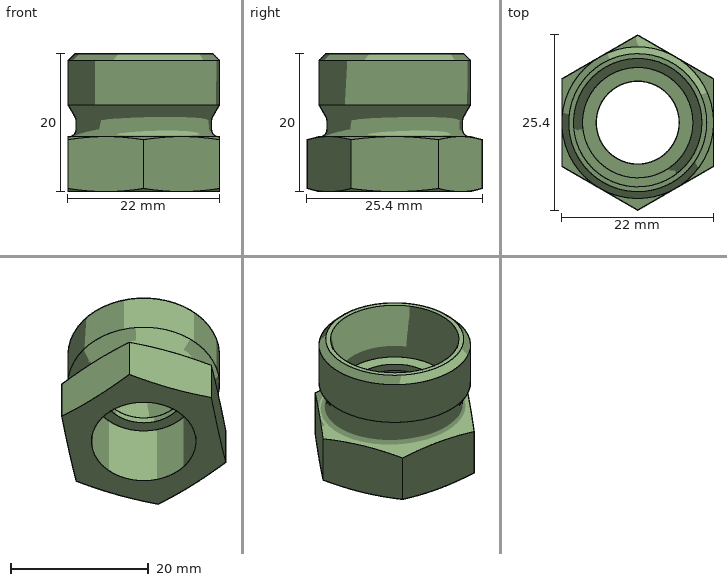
import cadquery as cq
import math

ACROSS_CORNERS = 25.4
TOTAL_HEIGHT = 20.0
HEX_HEIGHT = 7.98
HEX_CHAMFER_ANGLE = 15.0

COLLAR_DIAMETER = 22.0
COLLAR_BOTTOM = 12.57
COLLAR_CHAMFER = 1.0
UNDERCUT_DIAMETER = 19.7
UNDERCUT_CONE_ANGLE = 30.0
UNDERCUT_FILLET = 1.0

SEAT_MOUTH_DIAMETER = 18.62
SOCKET_DIAMETER = 16.0
SEAT_CONE_ANGLE = 12.0
SOCKET_DEPTH = 8.0
BORE_DIAMETER = 12.0
BORE_LENGTH = 1.07
LOWER_BORE_DIAMETER = 15.15

ACROSS_FLATS = ACROSS_CORNERS * math.cos(math.radians(30))
COLLAR_RADIUS = COLLAR_DIAMETER / 2
UNDERCUT_RADIUS = UNDERCUT_DIAMETER / 2
SEAT_DEPTH = (SEAT_MOUTH_DIAMETER - SOCKET_DIAMETER) / 2 / math.tan(math.radians(SEAT_CONE_ANGLE))


def revolve_profile(profile):
    """Turn a closed radius-height profile around the Z axis."""
    return profile.close().revolve(360, (0, 0, 0), (0, 1, 0))


def make_hexagon():
    """Hexagon with corners on Y and conical chamfers on both ends."""
    hexagon = (
        cq.Workplane("XY")
        .polygon(6, ACROSS_CORNERS)
        .extrude(HEX_HEIGHT)
        .rotate((0, 0, 0), (0, 0, 1), 30)
    )
    flat_radius = ACROSS_FLATS / 2
    corner_radius = ACROSS_CORNERS / 2
    drop = (corner_radius - flat_radius) * math.tan(math.radians(HEX_CHAMFER_ANGLE))
    envelope = revolve_profile(
        cq.Workplane("XZ")
        .lineTo(flat_radius, 0)
        .lineTo(corner_radius, drop)
        .lineTo(corner_radius, HEX_HEIGHT - drop)
        .lineTo(flat_radius, HEX_HEIGHT)
        .lineTo(0, HEX_HEIGHT)
    )
    return hexagon.intersect(envelope)


def make_collar():
    """Round collar above a filleted undercut that flares into the hexagon."""
    cone_angle = math.radians(UNDERCUT_CONE_ANGLE)
    cone_height = (COLLAR_RADIUS - UNDERCUT_RADIUS) / math.tan(cone_angle)
    neck_top = COLLAR_BOTTOM - cone_height

    tangent_length = UNDERCUT_FILLET * math.tan(cone_angle / 2)
    arc_start = neck_top - tangent_length
    arc_center = UNDERCUT_RADIUS + UNDERCUT_FILLET

    def arc_point(angle):
        return (
            arc_center - UNDERCUT_FILLET * math.cos(angle),
            arc_start + UNDERCUT_FILLET * math.sin(angle),
        )

    diagonal = UNDERCUT_FILLET * math.sqrt(0.5)
    lower_arc_center_z = HEX_HEIGHT + UNDERCUT_FILLET
    return revolve_profile(
        cq.Workplane("XZ")
        .moveTo(0, HEX_HEIGHT)
        .lineTo(arc_center, HEX_HEIGHT)
        .threePointArc(
            (arc_center - diagonal, lower_arc_center_z - diagonal),
            (UNDERCUT_RADIUS, lower_arc_center_z),
        )
        .lineTo(UNDERCUT_RADIUS, arc_start)
        .threePointArc(arc_point(cone_angle / 2), arc_point(cone_angle))
        .lineTo(COLLAR_RADIUS, COLLAR_BOTTOM)
        .lineTo(COLLAR_RADIUS, TOTAL_HEIGHT - COLLAR_CHAMFER)
        .lineTo(COLLAR_RADIUS - COLLAR_CHAMFER, TOTAL_HEIGHT)
        .lineTo(0, TOTAL_HEIGHT)
    )


def make_passage():
    """Stepped through passage: lower bore, narrow bore, socket and conical seat."""
    socket_floor = TOTAL_HEIGHT - SOCKET_DEPTH
    lower_bore_top = socket_floor - BORE_LENGTH
    return revolve_profile(
        cq.Workplane("XZ")
        .lineTo(LOWER_BORE_DIAMETER / 2, 0)
        .lineTo(LOWER_BORE_DIAMETER / 2, lower_bore_top)
        .lineTo(BORE_DIAMETER / 2, lower_bore_top)
        .lineTo(BORE_DIAMETER / 2, socket_floor)
        .lineTo(SOCKET_DIAMETER / 2, socket_floor)
        .lineTo(SOCKET_DIAMETER / 2, TOTAL_HEIGHT - SEAT_DEPTH)
        .lineTo(SEAT_MOUTH_DIAMETER / 2, TOTAL_HEIGHT)
        .lineTo(0, TOTAL_HEIGHT)
    )


result = make_hexagon().union(make_collar()).cut(make_passage())